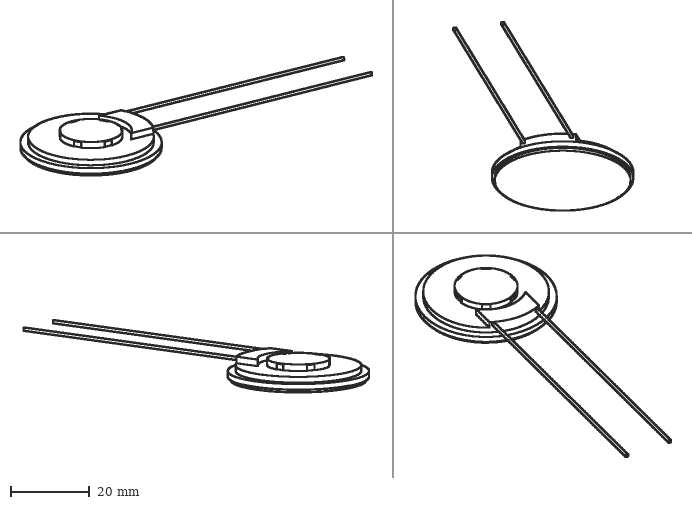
import cadquery as cq

flange_diameter = 36.0
base_diameter = 34.6
cover_diameter = 32.0
button_diameter = 16.0

base_top = 0.8
flange_top = 2.3
cover_top = 3.8
total_height = 5.5

groove_count = 6
groove_width = 2.1
groove_floor_diameter = 15.6
groove_top = total_height - (button_diameter - groove_floor_diameter) / 2

block_width = 14.6
block_inner_radius = 10.4
block_outer_radius = cover_diameter / 2

total_length = 100.0
lead_diameter = 0.9
lead_spacing = 12.6
lead_height = 4.8
lead_start = 13.0
lead_end = total_length - flange_diameter / 2


def disc(diameter, bottom, top):
    return cq.Workplane("XY").workplane(offset=bottom).circle(diameter / 2).extrude(top - bottom)


def make_button():
    """Round button with shallow grooves that stop below its top face."""
    button = disc(button_diameter, cover_top, total_height)
    core = disc(groove_floor_diameter, cover_top, groove_top)
    for index in range(groove_count):
        groove = (
            cq.Workplane("XY", origin=(0, 0, cover_top))
            .box(button_diameter, groove_width, groove_top - cover_top, centered=(False, True, False))
            .cut(core)
            .rotate((0, 0, 0), (0, 0, 1), index * 360 / groove_count)
        )
        button = button.cut(groove)
    return button


def make_terminal_block():
    """Strip of a ring, cut off by two planes parallel to the leads."""
    ring = disc(2 * block_outer_radius, flange_top, total_height)
    strip = cq.Workplane("XY").box(
        block_width, block_outer_radius, total_height, centered=(True, False, False)
    )
    inner_cut = disc(2 * block_inner_radius, flange_top, total_height)
    return ring.intersect(strip).cut(inner_cut)


def make_lead(x):
    return (
        cq.Workplane("XZ", origin=(x, lead_start, lead_height))
        .circle(lead_diameter / 2)
        .extrude(lead_start - lead_end)
    )


result = disc(base_diameter, 0, base_top)
result = result.union(disc(flange_diameter, base_top, flange_top))
result = result.union(disc(cover_diameter, flange_top, cover_top))
result = result.union(make_button())
result = result.union(make_terminal_block())
for side in (-1, 1):
    result = result.union(make_lead(side * lead_spacing / 2))